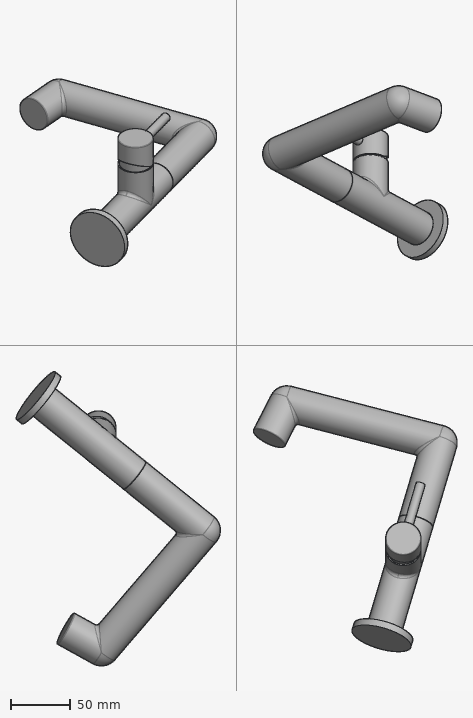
import math

import cadquery as cq

tube_radius = 15.0
joint_fillet = 3.0
rim_fillet = 0.5

flange_radius = 26.0
flange_thickness = 6.0
body_end_y = 108.8
branch_y = 69.0
branch_top_z = 37.6

overall_depth = 198.8
bend_y = overall_depth - tube_radius
cross_run_length = 133.92
outlet_length = 35.0
outlet_tilt = math.radians(10.0)
square_bend = (0, bend_y, 0)
outlet_bend = (-cross_run_length, bend_y, 0)
outlet_direction = (-math.sin(outlet_tilt), -math.cos(outlet_tilt), 0)
ball_axis = (1, 1, 0)

stem_radius = 13.8
stem_height = 15.0
cap_gap = 1.2
cap_bottom_z = branch_top_z + cap_gap
cap_top_z = 63.0
cap_slope_rise = 7.0
lever_radius = 4.0
lever_z = 53.0
lever_end_y = 124.0


def rod(start, direction, length, radius):
    """Solid cylinder running from a start point along a direction."""
    cylinder = cq.Solid.makeCylinder(radius, length, cq.Vector(*start), cq.Vector(*direction))
    return cq.Workplane(cylinder)


def ball(center):
    """Sphere that rounds the outside of a tube bend."""
    sphere = cq.Solid.makeSphere(tube_radius, cq.Vector(*center), cq.Vector(*ball_axis), -90, 90)
    return cq.Workplane(sphere)


def blend_tube_joints(tubes):
    """Round the elliptical corners where tubes of equal size meet."""
    return tubes.edges("%ELLIPSE").fillet(joint_fillet)


def make_body():
    flange = rod((0, 0, 0), (0, 1, 0), flange_thickness, flange_radius)
    tube = rod((0, flange_thickness, 0), (0, 1, 0), body_end_y - flange_thickness, tube_radius)
    tube = tube.edges("%CIRCLE").fillet(rim_fillet)
    branch = rod((0, branch_y, 0), (0, 0, 1), branch_top_z, tube_radius)
    return blend_tube_joints(tube.union(branch)).union(flange)


def make_spout():
    straight_run = rod((0, body_end_y, 0), (0, 1, 0), bend_y - body_end_y, tube_radius)
    cross_run = rod(outlet_bend, (1, 0, 0), cross_run_length, tube_radius)
    outlet = rod(outlet_bend, outlet_direction, outlet_length, tube_radius)
    outlet = outlet.faces("<Y").edges().fillet(rim_fillet)
    runs = blend_tube_joints(straight_run.union(cross_run).union(outlet))
    return runs.union(ball(square_bend)).union(ball(outlet_bend))


def make_handle():
    cap = rod((0, branch_y, cap_bottom_z), (0, 0, 1), cap_top_z - cap_bottom_z, tube_radius)
    cap = cap.faces(">Z").edges().fillet(rim_fillet)
    underside_wedge = (
        cq.Workplane("YZ")
        .moveTo(branch_y, cap_bottom_z)
        .lineTo(branch_y - tube_radius, cap_bottom_z + cap_slope_rise)
        .lineTo(branch_y - tube_radius, cap_bottom_z)
        .close()
        .extrude(tube_radius, both=True)
    )
    stem = rod((0, branch_y, branch_top_z), (0, 0, 1), stem_height, stem_radius)
    lever = rod((0, branch_y, lever_z), (0, 1, 0), lever_end_y - branch_y, lever_radius)
    return cap.cut(underside_wedge).union(stem).union(lever)


body = make_body()
spout = make_spout()
handle = make_handle()

result = cq.Compound.makeCompound([*body.solids().vals(), *spout.solids().vals(), *handle.solids().vals()])